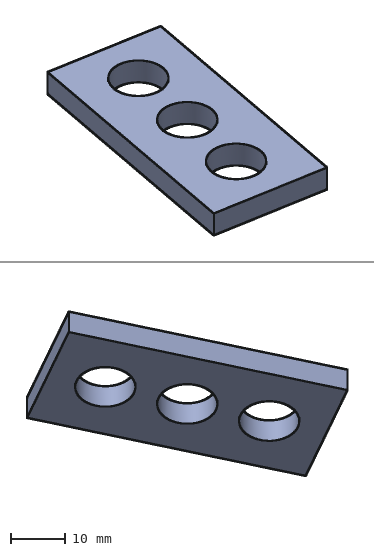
import cadquery as cq

length = 54.0
width = 25.4
thickness = 5.0

hole_diameter = 11.1
hole_pitch = 15.85
hole_count = 3

plate = cq.Workplane("XY").box(length, width, thickness)

result = (
    plate.faces(">Z")
    .workplane()
    .rarray(hole_pitch, width, hole_count, 1)
    .hole(hole_diameter)
)